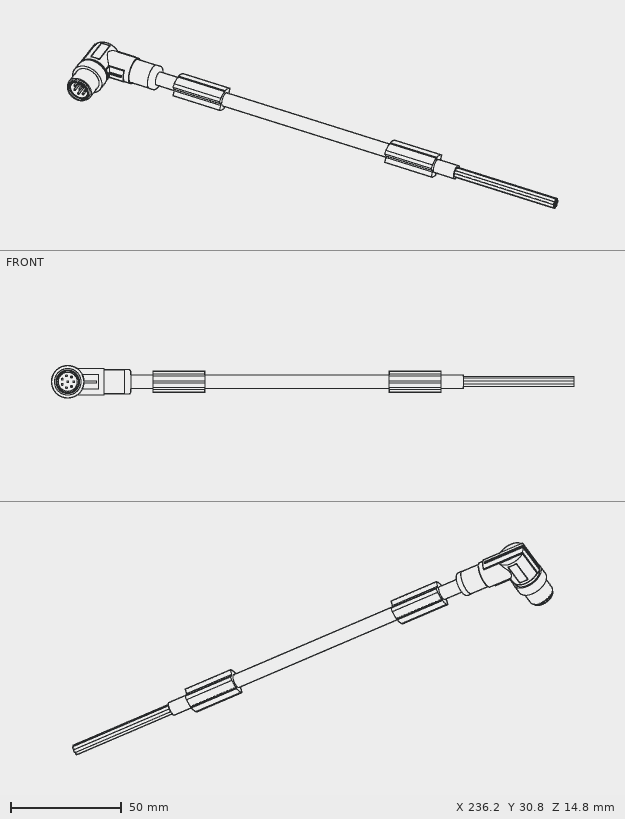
import cadquery as cq
import math


BODY_RADIUS = 6.8
BODY_BACK_Y = 5.05
SHOULDER_Y = -8.5
NECK_RADIUS = 6.6
NUT_RADIUS = 7.38
NUT_BACK_Y = -9.95
NUT_FRONT_Y = -14.9
SLEEVE_RADIUS = 6.0
SLEEVE_FRONT_Y = -22.75
TIP_RADIUS = 5.3
TIP_FRONT_Y = -24.25

CAVITY_RADIUS = 4.3
CAVITY_DEPTH = 8.0
MOUTH_RADIUS = 4.85
MOUTH_DEPTH = 1.0
PIN_RADIUS = 0.4
PIN_RECESS = 1.5
PIN_CIRCLE_RADIUS = 2.75
RING_COUNT = 7

ARM_RADIUS = 6.05
ARM_END_X = 16.4
COLLAR_RADIUS = 5.5
COLLAR_END_X = 25.7
BUSH_RADIUS = 5.6
BUSH_END_X = 28.5
BUSH_FILLET = 1.0

GRIP_HALF_WIDTH = 3.2
GRIP_BODY_RADIUS = 7.2
GRIP_ARM_RADIUS = 6.55
GRIP_END_X = 13.9
GRIP_BAND_SIZE = 2 * (GRIP_END_X + GRIP_BODY_RADIUS)
GROOVE_WIDTH = 0.9
GROOVE_DEPTH = 0.4
GROOVE_END_X = 12.9

LABEL_WIDTH = 4.27
LABEL_BACK_Y = 3.75
LABEL_FRONT_Y = -6.9
LABEL_HEIGHT = 6.9

CABLE_RADIUS = 3.15
PART_END_X = 228.87
WIRE_LENGTH = 50.0
CABLE_END_X = PART_END_X - WIRE_LENGTH
WIRE_RADIUS = 0.71
WIRE_CIRCLE_RADIUS = 1.7
MARKER_LENGTH = 23.5
MARKER_STARTS_X = (38.5, 145.3)

MARKER_TOP_Z = 4.8
MARKER_SHOULDER = (3.4, 3.85)
MARKER_CORNER = (4.1, 3.6)
MARKER_EDGE = (5.4, 2.5)
MARKER_NOTCH = (4.2, 0.45)
MARKER_SLOT_HALF_WIDTH = 0.35
MARKER_SLOT_DEPTH = 0.6


def rod_x(radius, start_x, end_x, y=0, z=0):
    """Round bar parallel to X."""
    return cq.Workplane("YZ", origin=(start_x, 0, 0)).center(y, z).circle(radius).extrude(end_x - start_x)


def rod_y(radius, front_y, back_y, x=0, z=0):
    """Round bar parallel to Y."""
    direction = cq.Vector(0, 1, 0)
    return cq.Workplane(cq.Solid.makeCylinder(radius, back_y - front_y, cq.Vector(x, front_y, z), direction))


def ring_points(radius, start_angle):
    """One centre point and RING_COUNT points evenly spaced around it."""
    step = 2 * math.pi / RING_COUNT
    angles = [start_angle + i * step for i in range(RING_COUNT)]
    ring = [(radius * math.cos(angle), radius * math.sin(angle)) for angle in angles]
    return [(0, 0)] + ring


def make_elbow():
    """Plug body along Y joined to the stepped cable arm along X."""
    body = rod_y(BODY_RADIUS, SHOULDER_Y, BODY_BACK_Y)
    neck = rod_y(NECK_RADIUS, NUT_BACK_Y, SHOULDER_Y)
    arm = rod_x(ARM_RADIUS, 0, ARM_END_X)
    collar = rod_x(COLLAR_RADIUS, ARM_END_X, COLLAR_END_X)
    bush = rod_x(BUSH_RADIUS, COLLAR_END_X, BUSH_END_X).faces(">X").edges().fillet(BUSH_FILLET)
    return body.union(neck).union(arm).union(collar).union(bush)


def grip_volume(inset, half_width, end_x):
    """Elbow-shaped volume, reduced by an inset and limited to a middle band."""
    body_radius = GRIP_BODY_RADIUS - inset
    arm_radius = GRIP_ARM_RADIUS - inset
    body = rod_y(body_radius, SHOULDER_Y, 0)
    corner = rod_y(body_radius, 0, arm_radius).intersect(rod_x(arm_radius, -body_radius, body_radius))
    arm = rod_x(arm_radius, 0, end_x)
    band = cq.Workplane("XY").box(GRIP_BAND_SIZE, GRIP_BAND_SIZE, 2 * half_width)
    return body.union(corner).union(arm).intersect(band)


def make_grip():
    """Raised band round the elbow with a groove along its middle."""
    band = grip_volume(0, GRIP_HALF_WIDTH, GRIP_END_X)
    groove_outer = grip_volume(0, GROOVE_WIDTH / 2, GROOVE_END_X)
    groove_inner = grip_volume(GROOVE_DEPTH, GRIP_HALF_WIDTH, GRIP_END_X)
    return band.cut(groove_outer.cut(groove_inner))


def make_label_pads():
    """One block through the body whose ends are the two flat label pads."""
    length = LABEL_BACK_Y - LABEL_FRONT_Y
    middle_y = (LABEL_BACK_Y + LABEL_FRONT_Y) / 2
    return cq.Workplane("XY", origin=(0, middle_y, 0)).box(LABEL_WIDTH, length, 2 * LABEL_HEIGHT)


def make_coupling():
    """Nut, sleeve and tip with a blind cavity that holds the contact pins."""
    floor_y = TIP_FRONT_Y + CAVITY_DEPTH
    nut = rod_y(NUT_RADIUS, NUT_FRONT_Y, NUT_BACK_Y)
    sleeve = rod_y(SLEEVE_RADIUS, SLEEVE_FRONT_Y, NUT_FRONT_Y)
    tip = rod_y(TIP_RADIUS, TIP_FRONT_Y, SLEEVE_FRONT_Y)
    coupling = nut.union(sleeve).union(tip)
    coupling = coupling.cut(rod_y(CAVITY_RADIUS, TIP_FRONT_Y, floor_y))
    coupling = coupling.cut(rod_y(MOUTH_RADIUS, TIP_FRONT_Y, TIP_FRONT_Y + MOUTH_DEPTH))
    for x, z in ring_points(PIN_CIRCLE_RADIUS, 0):
        coupling = coupling.union(rod_y(PIN_RADIUS, TIP_FRONT_Y + PIN_RECESS, NUT_FRONT_Y, x, z))
    return coupling


def make_marker(start_x):
    """Cable marker: slotted domes above and below two wings with notched tips."""
    quarter = [MARKER_SHOULDER, MARKER_CORNER, MARKER_EDGE, MARKER_NOTCH]
    right_side = quarter + [(y, -z) for y, z in reversed(quarter)]
    left_side = [(-y, -z) for y, z in right_side]
    plane = cq.Workplane("YZ", origin=(start_x, 0, 0))
    section = plane.moveTo(*left_side[-1]).threePointArc((0, MARKER_TOP_Z), right_side[0])
    section = section.polyline(right_side[1:], includeCurrent=True)
    section = section.threePointArc((0, -MARKER_TOP_Z), left_side[0])
    section = section.polyline(left_side[1:], includeCurrent=True).wire()
    body = section.extrude(MARKER_LENGTH)
    slot_centers = [(0, MARKER_TOP_Z), (0, -MARKER_TOP_Z)]
    slot_tools = plane.pushPoints(slot_centers).rect(2 * MARKER_SLOT_HALF_WIDTH, 2 * MARKER_SLOT_DEPTH)
    return body.cut(slot_tools.extrude(MARKER_LENGTH))


def make_cable():
    """Cable jacket with its markers and the bare wires at the free end."""
    cable = rod_x(CABLE_RADIUS, ARM_END_X, CABLE_END_X)
    for start_x in MARKER_STARTS_X:
        cable = cable.union(make_marker(start_x))
    for y, z in ring_points(WIRE_CIRCLE_RADIUS, math.pi / 2):
        cable = cable.union(rod_x(WIRE_RADIUS, CABLE_END_X, PART_END_X, y, z))
    return cable


plug = make_elbow().union(make_grip()).union(make_label_pads()).union(make_coupling())
result = plug.union(make_cable())